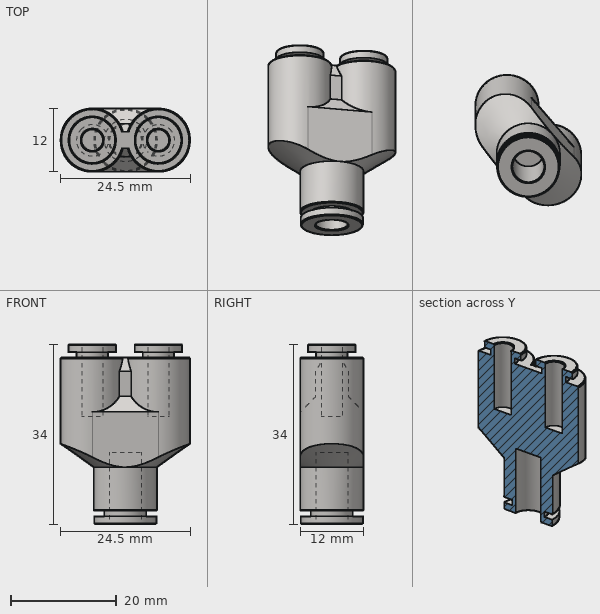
import cadquery as cq

total_height = 34.0
body_diameter = 12.0
body_radius = body_diameter / 2
port_spacing = 12.48
port_x = port_spacing / 2
edge_chamfer = 0.2

flange_thickness = 1.5
collar_height = 2.5
upper_flange_diameter = 9.0
upper_neck_diameter = 6.0
upper_bore_diameter = 4.0
lower_flange_diameter = 11.8
lower_neck_diameter = 8.0
lower_bore_diameter = 6.0
bore_depth = 13.6

body_top = total_height - collar_height
body_bottom = collar_height
cone_bottom = 10.78
cone_top = 15.2
block_top = 21.18

web_half_width = 3.1
web_top_half_width = 1.55
web_bottom = 24.15
web_shoulder = 28.9


def cylinder(diameter, bottom, top, x=0):
    return cq.Workplane("XY", origin=(x, 0, bottom)).circle(diameter / 2).extrude(top - bottom)


def make_collar(flange_diameter, neck_diameter):
    """Collar standing on Z = 0 with its flange uppermost."""
    neck = cylinder(neck_diameter, 0, collar_height)
    flange = cylinder(flange_diameter, collar_height - flange_thickness, collar_height)
    return neck.union(flange.faces(">Z").edges().chamfer(edge_chamfer))


def make_bore(diameter):
    """Cutter for a blind bore with a chamfered mouth, opening at the collar face."""
    radius = diameter / 2
    return (
        cq.Workplane("XZ")
        .moveTo(0, collar_height)
        .lineTo(radius + edge_chamfer, collar_height)
        .lineTo(radius, collar_height - edge_chamfer)
        .lineTo(radius, collar_height - bore_depth)
        .lineTo(0, collar_height - bore_depth)
        .close()
        .revolve(360, (0, 0), (0, 1))
    )


def place_upper(shape, x):
    return shape.translate((x, 0, body_top))


def place_lower(shape):
    return shape.rotate((0, 0, 0), (1, 0, 0), 180).translate((0, 0, body_bottom))


def make_center():
    """Block and web between the barrels, stepped inwards by sloping shoulders."""
    half_profile = [
        (body_radius, cone_bottom),
        (body_radius, block_top),
        (web_half_width, web_bottom),
        (web_half_width, web_shoulder),
        (web_top_half_width, body_top),
    ]
    mirrored = [(-y, z) for y, z in reversed(half_profile)]
    return (
        cq.Workplane("YZ")
        .polyline(half_profile + mirrored)
        .close()
        .extrude(port_x, both=True)
    )


def make_underside_envelope():
    """Solid of revolution that trims the underside of the upper body to a cone."""
    outer_radius = port_x + body_radius
    slope = (cone_top - cone_bottom) / (outer_radius - body_radius)
    envelope_radius = outer_radius + edge_chamfer
    envelope_height = cone_bottom + slope * (envelope_radius - body_radius)
    return (
        cq.Workplane("XZ")
        .moveTo(0, cone_bottom)
        .lineTo(body_radius, cone_bottom)
        .lineTo(envelope_radius, envelope_height)
        .lineTo(envelope_radius, total_height)
        .lineTo(0, total_height)
        .close()
        .revolve(360, (0, 0), (0, 1))
    )


upper_body = make_center()
for x in (-port_x, port_x):
    barrel = cylinder(body_diameter, cone_bottom, body_top, x)
    upper_body = upper_body.union(barrel.faces(">Z").edges().chamfer(edge_chamfer))
upper_body = upper_body.intersect(make_underside_envelope())

lower_barrel = cylinder(body_diameter, body_bottom, cone_bottom)
result = upper_body.union(lower_barrel.faces("<Z").edges().chamfer(edge_chamfer))

upper_collar = make_collar(upper_flange_diameter, upper_neck_diameter)
upper_bore = make_bore(upper_bore_diameter)
for x in (-port_x, port_x):
    result = result.union(place_upper(upper_collar, x)).cut(place_upper(upper_bore, x))

lower_collar = make_collar(lower_flange_diameter, lower_neck_diameter)
lower_bore = make_bore(lower_bore_diameter)
result = result.union(place_lower(lower_collar)).cut(place_lower(lower_bore))